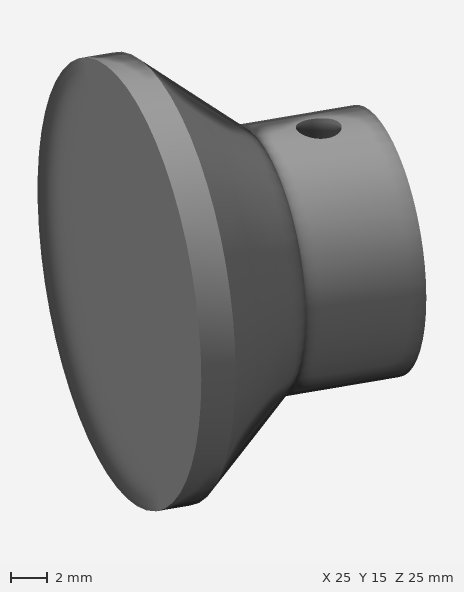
import cadquery as cq

rim_diameter = 25.0
rim_length = 2.0
cone_length = 6.0
hub_diameter = 15.0
total_length = 15.0
pin_hole_diameter = 2.5
pin_hole_from_hub_end = 3.4

rim_radius = rim_diameter / 2
hub_radius = hub_diameter / 2
cone_end = rim_length + cone_length


def knob_body():
    """Rim, cone and hub revolved from one half profile about the Y axis."""
    profile = (
        cq.Workplane("XY")
        .polyline([
            (0, 0),
            (rim_radius, 0),
            (rim_radius, rim_length),
            (hub_radius, cone_end),
            (hub_radius, total_length),
            (0, total_length),
        ])
        .close()
    )
    return profile.revolve(360, (0, 0), (0, 1))


def pin_hole():
    """Cross hole passing through the whole hub along Z."""
    return (
        cq.Workplane("XY")
        .center(0, total_length - pin_hole_from_hub_end)
        .circle(pin_hole_diameter / 2)
        .extrude(hub_diameter, both=True)
    )


result = knob_body().cut(pin_hole())